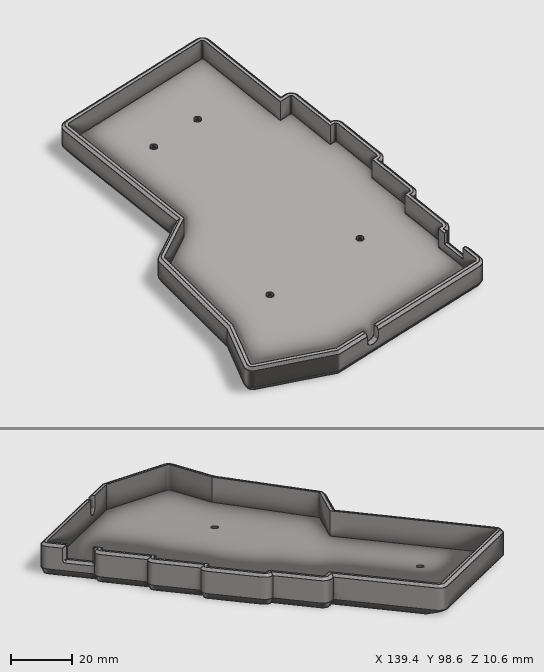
import cadquery as cq
import math

overall_length = 139.4
height = 10.6
wall = 2.1
floor = 2.0
inner_length = overall_length - 2 * wall
inner_depth = 59.0
inner_corner_radius = 1.0
least_rounded_turn = 30

rim_bevel = 1.0
base_bevel_height = 2.0
base_bevel_width = 1.0
left_bevel_width = 6.7

step_pitch = 19.1
first_step_left = 38.2
second_step_left = first_step_left + step_pitch
second_step_right = 77.9
third_step_right = second_step_right + step_pitch
fourth_step_right = third_step_right + step_pitch
first_step_y = 63.8
second_step_y = 66.3
third_step_y = first_step_y
fourth_step_y = 61.2

thumb_corners = [
    (inner_length, -2.4),
    (122.5, -28.4),
    (105.0, -20.6),
    (66.7, -16.7),
    (57.5, 0),
]

hole_diameter = 2.5
left_hole_x = 19.9
left_hole_rear_y = 39.2
left_hole_front_y = left_hole_rear_y - step_pitch
right_hole_x = 96.0
right_hole_rear_y = 42.5
right_hole_front_y = 3.3

port_left = 118.9
port_width = 9.2
port_bottom = 5.6

jack_width = 4.7
jack_y = 11.7
jack_center_z = 7.0

inner_corners = [
    (0, 0),
    (0, inner_depth),
    (first_step_left, inner_depth),
    (first_step_left, first_step_y),
    (second_step_left, first_step_y),
    (second_step_left, second_step_y),
    (second_step_right, second_step_y),
    (second_step_right, third_step_y),
    (third_step_right, third_step_y),
    (third_step_right, fourth_step_y),
    (fourth_step_right, fourth_step_y),
    (fourth_step_right, inner_depth),
    (inner_length, inner_depth),
] + thumb_corners


def outward_turn(index):
    """Bend of the inside outline at a corner in degrees, positive where it bulges outward."""
    before = cq.Vector(*inner_corners[index - 1])
    corner = cq.Vector(*inner_corners[index])
    after = cq.Vector(*inner_corners[(index + 1) % len(inner_corners)])
    arriving = corner - before
    leaving = after - corner
    return math.degrees(math.atan2(-arriving.cross(leaving).z, arriving.dot(leaving)))


def make_cavity():
    """Inside space of the tray, starting at z = 0, with its main outward corners rounded."""
    cavity = cq.Workplane("XY").polyline(inner_corners).close().extrude(height)
    for index, (x, y) in enumerate(inner_corners):
        if outward_turn(index) > least_rounded_turn:
            corner_edge = cq.selectors.NearestToPointSelector((x, y, height / 2))
            cavity = cavity.edges("|Z").edges(corner_edge).fillet(inner_corner_radius)
    return cavity


def make_body(cavity):
    """Solid block one wall thickness larger than the cavity, bevelled at base and rim."""
    outline = cavity.faces("<Z").wires().val().offset2D(wall, "arc")[0]
    body = cq.Workplane("XY").add(outline).toPending().extrude(height)
    body = body.faces("<Z").chamfer(base_bevel_height, base_bevel_width)
    return body.faces(">Z").chamfer(rim_bevel)


def make_left_bevel():
    """Wedge that widens the base bevel along the left wall."""
    return (
        cq.Workplane("XZ", origin=(-wall, 0, 0))
        .polyline([(0, 0), (left_bevel_width, 0), (0, base_bevel_height)])
        .close()
        .extrude(overall_length, both=True)
    )


def make_port():
    """Port cutter, open at the rim, with a 45 degree flare at the outer face of the back wall."""
    flare_start_y = inner_depth + wall - rim_bevel
    center_x = port_left + port_width / 2
    plane = cq.Workplane("XZ", origin=(center_x, flare_start_y, port_bottom + height / 2))
    opening = plane.rect(port_width, height).extrude(wall, both=True)
    flare = plane.rect(port_width, height).extrude(-rim_bevel, taper=-45)
    return opening.union(flare)


def make_jack_slot():
    """U-shaped cutter through the right wall, open at the rim."""
    plane = cq.Workplane("YZ", origin=(inner_length - wall, jack_y, jack_center_z))
    round_bottom = plane.circle(jack_width / 2).extrude(3 * wall)
    straight_top = plane.rect(jack_width, height, centered=(True, False)).extrude(3 * wall)
    return round_bottom.union(straight_top)


def make_holes():
    places = [
        (left_hole_x, left_hole_rear_y),
        (left_hole_x, left_hole_front_y),
        (right_hole_x, right_hole_rear_y),
        (right_hole_x, right_hole_front_y),
    ]
    return cq.Workplane("XY").pushPoints(places).circle(hole_diameter / 2).extrude(height)


cavity = make_cavity()
result = (
    make_body(cavity)
    .cut(make_left_bevel())
    .cut(cavity.translate((0, 0, floor)))
    .cut(make_port())
    .cut(make_jack_slot())
    .cut(make_holes())
)